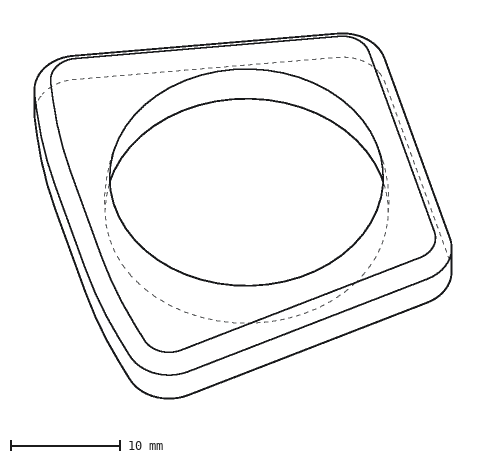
import cadquery as cq
import math

width = 38.02
depth = 32.95
height = 5.0
corner_radius = 4.0
taper_angle = math.radians(10)
front_flat_width = 10.0
front_arc_radius = 50.0
top_chamfer = 1.5
hole_top_diameter = 24.98
ball_radius = 13.0
hole_to_front = 16.73

front_y = -hole_to_front
back_y = front_y + depth
sin_taper = math.sin(taper_angle)
cos_taper = math.cos(taper_angle)
tan_taper = math.tan(taper_angle)


def front_arc_point(angle):
    """Point on the right front arc, at an angle swept from the flat."""
    x = front_flat_width / 2 + front_arc_radius * math.sin(angle)
    y = front_y + front_arc_radius * (1 - math.cos(angle))
    return (x, y)


def mirrored(point):
    return (-point[0], point[1])


flat_end = front_arc_point(0)
arc_middle = front_arc_point(taper_angle / 2)
arc_end = front_arc_point(taper_angle)
corner_center_x = width / 2 - corner_radius
front_corner_x = corner_center_x + corner_radius * (cos_taper + sin_taper)
front_corner_y = arc_end[1] + (front_corner_x - arc_end[0]) * tan_taper
front_corner = (front_corner_x, front_corner_y)
back_corner = (front_corner_x - (back_y - front_corner_y) * tan_taper, back_y)


def make_body():
    """Tapered plate with a bowed front, rounded corners and a chamfered top."""
    plate = (
        cq.Workplane("XY")
        .moveTo(*mirrored(flat_end))
        .lineTo(*flat_end)
        .threePointArc(arc_middle, arc_end)
        .lineTo(*front_corner)
        .lineTo(*back_corner)
        .lineTo(*mirrored(back_corner))
        .lineTo(*mirrored(front_corner))
        .lineTo(*mirrored(arc_end))
        .threePointArc(mirrored(arc_middle), mirrored(flat_end))
        .close()
        .extrude(height)
    )
    corner_points = [front_corner, back_corner, mirrored(back_corner), mirrored(front_corner)]
    for x, y in corner_points:
        corner_edge = cq.selectors.NearestToPointSelector((x, y, height / 2))
        plate = plate.edges("|Z").edges(corner_edge).fillet(corner_radius)
    return plate.faces(">Z").chamfer(top_chamfer)


def make_ball():
    """Ball that opens the top face to the hole's top diameter and passes out below."""
    center_below_top = math.sqrt(ball_radius**2 - (hole_top_diameter / 2) ** 2)
    center_z = height - center_below_top
    return cq.Workplane("XY").sphere(ball_radius).translate((0, 0, center_z))


result = make_body().cut(make_ball())